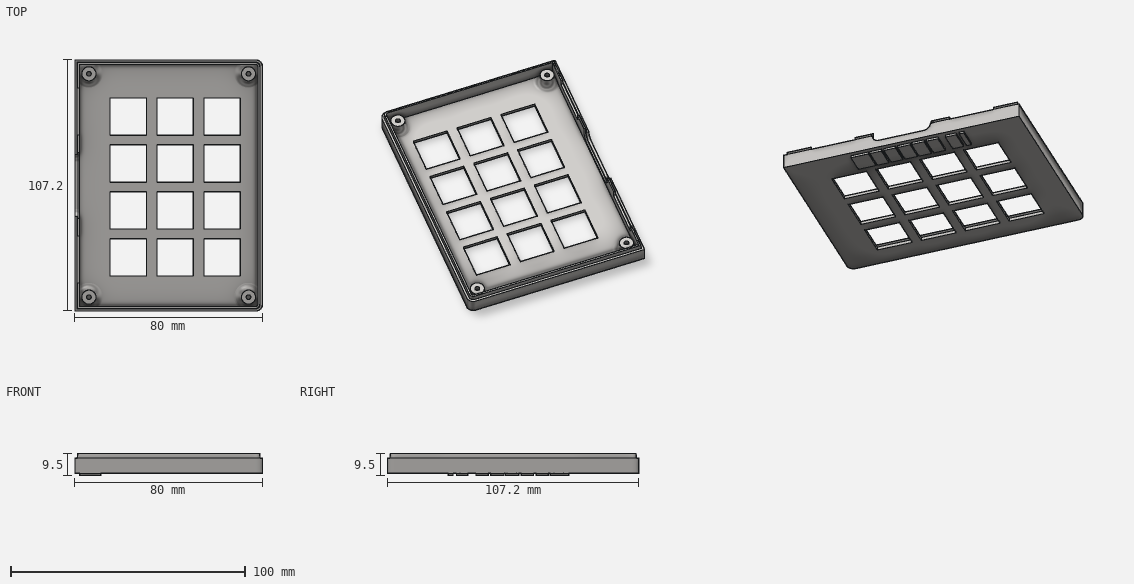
import cadquery as cq

length_x = 80.0
length_y = 107.15
rim_height = 6.5
floor_thickness = 1.5
wall_thickness = 2.0
corner_radius = 3.0
center_y = length_y / 2

lip_height = 2.0
lip_base_inset = 1.0
lip_top_inset = 1.2
top_height = rim_height + lip_height

lip_gap_start = 21.5
lip_gap_end = 41.5
lip_gap_recess = 1.0

opening_width = 26.4
opening_depth = 5.0
opening_radius = 3.0
opening_step = 0.8
opening_step_inset = 1.25

key_columns = 3
key_rows = 4
key_pitch = 20.0
key_width = 15.4
key_length = 15.8
key_margin = 15.05

post_inset = 6.0
post_radius = 3.0
post_flare_radius = 3.0
post_hole_diameter = 2.0
post_hole_depth = 4.0

label_height = 1.0
label_start_x = 2.0
label_width = 9.1
label_pads = [
    (15.7, 23.7),
    (9.8, 15.0),
    (3.4, 8.7),
    (-3.3, 2.4),
    (-9.6, -3.9),
    (-15.9, -10.6),
    (-24.2, -19.3),
    (-27.7, -25.6),
]


def tray_outline(inset, bottom_z):
    """Closed rectangle inset from the outer edge, with its two +X corners rounded."""
    return (
        cq.Workplane("XY", origin=(0, 0, bottom_z))
        .moveTo(inset, inset)
        .lineTo(length_x - corner_radius, inset)
        .radiusArc((length_x - inset, corner_radius), -(corner_radius - inset))
        .lineTo(length_x - inset, length_y - corner_radius)
        .radiusArc((length_x - corner_radius, length_y - inset), -(corner_radius - inset))
        .lineTo(inset, length_y - inset)
        .close()
    )


def make_shell():
    """Tray body with its tapered lip, hollowed down to the floor."""
    body = tray_outline(0, 0).extrude(rim_height)
    lip_base = tray_outline(lip_base_inset, rim_height).wires().val()
    lip_top = tray_outline(lip_top_inset, top_height).wires().val()
    lip = cq.Workplane(cq.Solid.makeLoft([lip_base, lip_top], True))
    cavity = tray_outline(wall_thickness, floor_thickness).extrude(top_height)
    return body.union(lip).cut(cavity)


def make_lip_gap(side):
    """Cutter for a stretch of the -X lip and a recess under it; side is +1 or -1 along Y."""
    gap_length = lip_gap_end - lip_gap_start
    gap_center_y = center_y + side * (lip_gap_start + lip_gap_end) / 2
    gap_low_y = gap_center_y - gap_length / 2
    return (
        cq.Workplane("XY", origin=(lip_base_inset, gap_low_y, rim_height - lip_gap_recess))
        .rect(wall_thickness - lip_base_inset, gap_length, centered=False)
        .extrude(lip_height + lip_gap_recess)
    )


def make_opening_cutter(start_x, end_x, step):
    """Round-bottomed cutter along X, open at the top and enlarged all round by the step."""
    depth = opening_depth + step
    width = opening_width + 2 * step
    return (
        cq.Workplane("XY", origin=(start_x, center_y - width / 2, top_height - depth))
        .rect(end_x - start_x, width, centered=False)
        .extrude(depth)
        .edges("|X and <Z")
        .fillet(opening_radius + step)
    )


def make_wall_opening():
    """Stepped cable opening through the -X wall."""
    outer_part = make_opening_cutter(0, wall_thickness, 0)
    inner_part = make_opening_cutter(opening_step_inset, wall_thickness, opening_step)
    return outer_part.union(inner_part)


def make_key_windows():
    """Rectangular windows through the floor."""
    first_x = key_margin + key_width / 2
    first_y = key_margin + key_length / 2
    centers = [
        (first_x + column * key_pitch, first_y + row * key_pitch)
        for column in range(key_columns)
        for row in range(key_rows)
    ]
    return cq.Workplane("XY").pushPoints(centers).rect(key_width, key_length).extrude(floor_thickness)


def make_post(x, y):
    """Post with a concave flare at its foot, trimmed so that it stays within the walls."""
    foot_radius = post_radius + post_flare_radius
    flare_top = floor_thickness + post_flare_radius
    post = (
        cq.Workplane("XZ")
        .lineTo(foot_radius, 0)
        .lineTo(foot_radius, floor_thickness)
        .radiusArc((post_radius, flare_top), post_flare_radius)
        .lineTo(post_radius, rim_height)
        .lineTo(0, rim_height)
        .close()
        .revolve(360, (0, 0, 0), (0, 1, 0))
        .translate((x, y, 0))
    )
    return post.intersect(tray_outline(wall_thickness / 2, 0).extrude(rim_height))


def make_post_hole(x, y):
    """Blind screw hole from the top of a post."""
    return (
        cq.Workplane("XY", origin=(x, y, rim_height))
        .circle(post_hole_diameter / 2)
        .extrude(-post_hole_depth)
    )


def make_label_pad(start_y, end_y):
    """Rectangular pad below the floor."""
    return (
        cq.Workplane("XY", origin=(label_start_x, center_y + start_y, 0))
        .rect(label_width, end_y - start_y, centered=False)
        .extrude(-label_height)
    )


result = make_shell()
for side in (-1, 1):
    result = result.cut(make_lip_gap(side))
for post_x in (post_inset, length_x - post_inset):
    for post_y in (post_inset, length_y - post_inset):
        result = result.union(make_post(post_x, post_y)).cut(make_post_hole(post_x, post_y))
result = result.cut(make_wall_opening()).cut(make_key_windows())
for start_y, end_y in label_pads:
    result = result.union(make_label_pad(start_y, end_y))